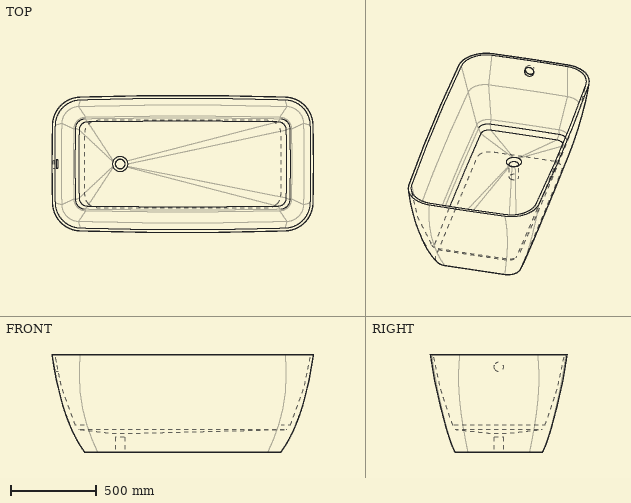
import cadquery as cq

height = 570.0
length = 1524.0
width = 800.0

rim_width = 17.0
rim_corner = 168.0
rim_side_bow = 15.0
rim_end_bow = 8.0

foot_length = 1143.0
foot_width = 512.0
foot_corner = 76.0

crease_z = 381.0
wall_base_z = 185.0
cove_z = 158.0
floor_edge_z = 133.0
drain_z = 110.0

drain_x = -364.0
drain_recess_radius = 44.0
drain_recess_depth = 18.0
drain_hole_radius = 27.0
overflow_radius = 27.0
overflow_z = height - 72.0
overflow_reach = 122.0


def bowed_outline(z, outline_length, outline_width, corner, side_bow, end_bow):
    """Rounded rectangle at height z whose sides swell outwards to the given overall size."""
    mid_x = outline_length / 2
    mid_y = outline_width / 2
    corner_x = mid_x - end_bow
    corner_y = mid_y - side_bow
    sharp = (
        cq.Workplane("XY", origin=(0, 0, z))
        .moveTo(-corner_x, -corner_y)
        .threePointArc((0, -mid_y), (corner_x, -corner_y))
        .threePointArc((mid_x, 0), (corner_x, corner_y))
        .threePointArc((0, mid_y), (-corner_x, corner_y))
        .threePointArc((-mid_x, 0), (-corner_x, -corner_y))
        .close()
        .val()
    )
    return sharp.fillet2D(corner, sharp.Vertices())


def outer_body():
    """Smooth loft from the foot up to the rim; the wall steepens as it rises."""
    sections = [
        (0, foot_length, foot_width, foot_corner, 2.0, 2.0),
        (82.0, 1245.0, 578.0, 91.0, 5.0, 3.0),
        (244.0, 1380.0, 669.0, 110.0, 8.0, 5.0),
        (411.0, 1469.0, 747.0, 134.0, 12.0, 6.0),
        (height, length, width, rim_corner, rim_side_bow, rim_end_bow),
    ]
    return cq.Solid.makeLoft([bowed_outline(*section) for section in sections], False)


def basin():
    """Straight wall bands from the rim, past the crease and the cove, to the edge of the floor."""
    inner_length = length - 2 * rim_width
    inner_width = width - 2 * rim_width
    inner_corner = rim_corner - rim_width
    sections = [
        (floor_edge_z, 1207.0, 500.0, 49.0, 5.0, 2.0),
        (cove_z, 1253.0, 536.0, 56.0, 6.0, 3.0),
        (wall_base_z, 1271.0, 558.0, 70.0, 8.0, 3.0),
        (crease_z, 1415.0, 687.0, 100.0, 12.0, 6.0),
        (height, inner_length, inner_width, inner_corner, rim_side_bow, rim_end_bow),
    ]
    outlines = [bowed_outline(*section) for section in sections]
    return outlines[0], cq.Solid.makeLoft(outlines, True)


def floor_fall(floor_edge):
    """Shallow funnel falling from the floor edge to the drain recess."""
    drain_edge = cq.Wire.makeCircle(
        drain_recess_radius, cq.Vector(drain_x, 0, drain_z), cq.Vector(0, 0, 1)
    )
    return cq.Solid.makeLoft([drain_edge, floor_edge], True)


def drain():
    """Conical recess in the floor above a round hole through the foot."""
    recess = cq.Solid.makeCone(
        drain_hole_radius,
        drain_recess_radius,
        drain_recess_depth,
        cq.Vector(drain_x, 0, drain_z - drain_recess_depth),
    )
    hole = cq.Solid.makeCylinder(drain_hole_radius, drain_z, cq.Vector(drain_x, 0, 0))
    return recess, hole


def overflow():
    """Round hole through the -X end wall."""
    start = cq.Vector(-length / 2, 0, overflow_z)
    return cq.Solid.makeCylinder(overflow_radius, overflow_reach, start, cq.Vector(1, 0, 0))


floor_edge_outline, basin_space = basin()
result = cq.Workplane(outer_body()).cut(cq.Workplane(basin_space))
result = result.cut(cq.Workplane(floor_fall(floor_edge_outline)))
for opening in (*drain(), overflow()):
    result = result.cut(cq.Workplane(opening))